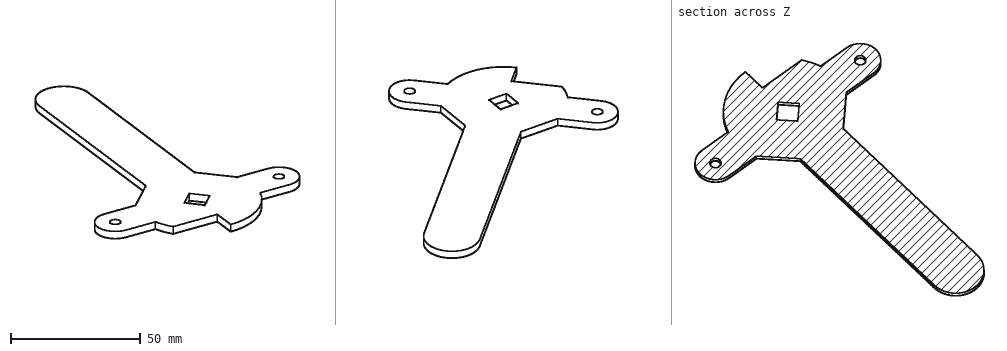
import cadquery as cq
import math

thickness = 3.2

hub_radius = 25.0
notch_x = 15.0

handle_width = 22.0
handle_reach = 110.0

arm_width = 16.0
arm_reach = 45.0
arm_hole_diameter = 4.2

shoulder_handle_x = -20.0

square_side = 8.1
square_angle = 45.0

handle_radius = handle_width / 2
handle_end_x = handle_radius - handle_reach
arm_radius = arm_width / 2
arm_end_y = arm_reach - arm_radius
shoulder_arm_y = handle_radius + (-arm_radius - shoulder_handle_x)
hub_arm_y = math.sqrt(hub_radius**2 - arm_radius**2)
notch_y = -math.sqrt(hub_radius**2 - notch_x**2)


def hub_point(start, end):
    """Point on the hub circle halfway between two of its points."""
    angle = (math.atan2(start[1], start[0]) + math.atan2(end[1], end[0])) / 2
    return (hub_radius * math.cos(angle), hub_radius * math.sin(angle))


def make_plate():
    """Plate with handle, arms and notched hub, outlined clockwise from the handle tip."""
    upper_hub_start = (arm_radius, hub_arm_y)
    upper_hub_end = (hub_radius, 0)
    lower_hub_start = (notch_x, notch_y)
    lower_hub_end = (arm_radius, -hub_arm_y)
    return (
        cq.Workplane("XY")
        .moveTo(handle_end_x, -handle_radius)
        .threePointArc((-handle_reach, 0), (handle_end_x, handle_radius))
        .lineTo(shoulder_handle_x, handle_radius)
        .lineTo(-arm_radius, shoulder_arm_y)
        .lineTo(-arm_radius, arm_end_y)
        .threePointArc((0, arm_reach), (arm_radius, arm_end_y))
        .lineTo(*upper_hub_start)
        .threePointArc(hub_point(upper_hub_start, upper_hub_end), upper_hub_end)
        .lineTo(notch_x, 0)
        .lineTo(*lower_hub_start)
        .threePointArc(hub_point(lower_hub_start, lower_hub_end), lower_hub_end)
        .lineTo(arm_radius, -arm_end_y)
        .threePointArc((0, -arm_reach), (-arm_radius, -arm_end_y))
        .lineTo(-arm_radius, -shoulder_arm_y)
        .lineTo(shoulder_handle_x, -handle_radius)
        .close()
        .extrude(thickness)
    )


def cut_arm_holes(plate):
    """Through hole at the centre of each rounded arm end."""
    holes = (
        cq.Workplane("XY")
        .pushPoints([(0, arm_end_y), (0, -arm_end_y)])
        .circle(arm_hole_diameter / 2)
        .extrude(thickness)
    )
    return plate.cut(holes)


def cut_square_hole(plate):
    """Square through hole with its diagonals along X and Y."""
    hole = (
        cq.Workplane("XY")
        .transformed(rotate=(0, 0, square_angle))
        .rect(square_side, square_side)
        .extrude(thickness)
    )
    return plate.cut(hole)


result = cut_square_hole(cut_arm_holes(make_plate()))